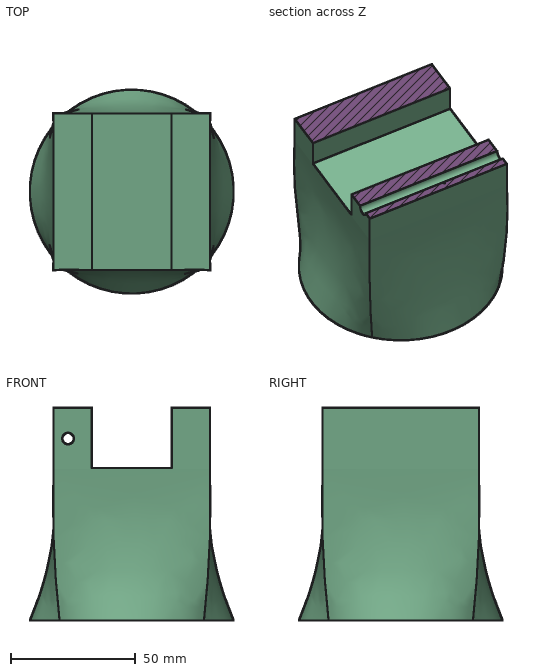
import cadquery as cq
import math

total_height = 85.4
base_diameter = 81.88
block_side = 62.8

body_height = 60.6
square_length = 25.0
square_start_height = body_height - square_length

slot_width = 32.0
slot_floor_height = 61.2
hole_diameter = 4.5
hole_inset = 5.85
hole_below_top = 12.4

half_side = block_side / 2
base_radius = base_diameter / 2


def foot_circle():
    """Base circle as four arcs that meet below the corners of the square."""
    corner = base_radius * math.sqrt(0.5)
    return (
        cq.Workplane("XY")
        .moveTo(-corner, -corner)
        .threePointArc((0, -base_radius), (corner, -corner))
        .threePointArc((base_radius, 0), (corner, corner))
        .threePointArc((0, base_radius), (-corner, corner))
        .threePointArc((-base_radius, 0), (-corner, -corner))
        .close()
        .val()
    )


def square_section(height):
    """Square outline of the block at the given height."""
    return (
        cq.Workplane("XY", origin=(0, 0, height))
        .moveTo(-half_side, -half_side)
        .lineTo(half_side, -half_side)
        .lineTo(half_side, half_side)
        .lineTo(-half_side, half_side)
        .close()
        .val()
    )


def make_body():
    """Smooth loft from the round foot through two equal squares."""
    sections = [
        foot_circle(),
        square_section(square_start_height),
        square_section(body_height),
    ]
    return cq.Workplane(cq.Solid.makeLoft(sections))


def make_fork():
    """Square block with a slot along Y and a pin hole through the -X arm."""
    block = (
        cq.Workplane("XY", origin=(0, 0, body_height))
        .rect(block_side, block_side)
        .extrude(total_height - body_height)
    )
    slot = (
        cq.Workplane("XY", origin=(0, 0, slot_floor_height))
        .rect(slot_width, block_side)
        .extrude(total_height - slot_floor_height)
    )
    hole = (
        cq.Workplane("XZ")
        .center(hole_inset - half_side, total_height - hole_below_top)
        .circle(hole_diameter / 2)
        .extrude(half_side, both=True)
    )
    return block.cut(slot).cut(hole)


result = make_body().union(make_fork())